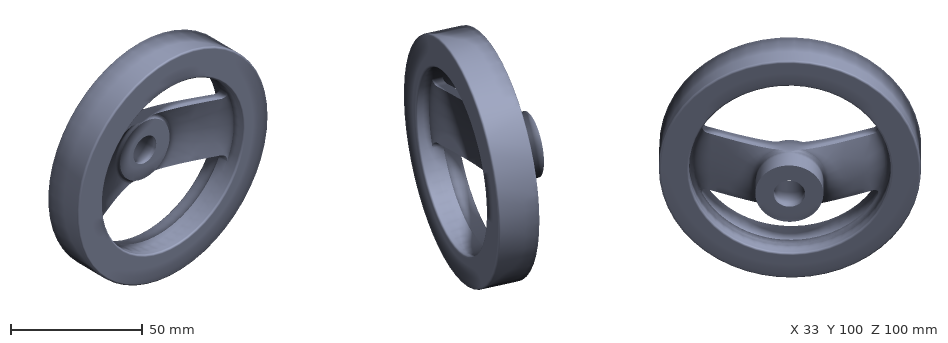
import cadquery as cq
import math

rim_diameter = 100.0
rim_front = 16.1
rim_back = 33.0
rim_edge_round = 0.8
front_bore_diameter = 77.0
back_bore_diameter = 74.0
rim_bore_round = 0.8

hub_diameter = 26.0
hub_back = 17.3
shaft_diameter = 12.0

web_front_at_hub = 10.3
web_thickness_at_hub = 5.2
web_thickness_at_rim = 4.2
web_slope_angle = 28.5
hub_front_fillet = 1.5
hub_back_fillet = 1.0
rim_front_fillet = 1.5

window_diameter = back_bore_diameter
spoke_width = hub_diameter
window_corner_radius = 2.0

hub_radius = hub_diameter / 2
front_bore_radius = front_bore_diameter / 2
back_bore_radius = back_bore_diameter / 2
web_slope = math.tan(math.radians(web_slope_angle))
web_front_at_rim = web_front_at_hub + (front_bore_radius - hub_radius) * web_slope
web_back_at_hub = web_front_at_hub + web_thickness_at_hub
web_back_at_rim = web_front_at_hub + (back_bore_radius - hub_radius) * web_slope + web_thickness_at_rim


def circles_within(radius, x):
    """Select circular edges about the axis at position x, up to this radius."""
    margin = 0.01
    return cq.selectors.BoxSelector(
        (x - margin, -radius - margin, -radius - margin),
        (x + margin, radius + margin, radius + margin),
        boundingbox=True,
    )


def make_wheel_body():
    """Revolve hub, dished web and rim about the X axis, then round the edges."""
    shaft_radius = shaft_diameter / 2
    rim_radius = rim_diameter / 2
    body = (
        cq.Workplane("XY")
        .moveTo(0, shaft_radius)
        .lineTo(0, hub_radius)
        .lineTo(web_front_at_hub, hub_radius)
        .lineTo(web_front_at_rim, front_bore_radius)
        .lineTo(rim_front, front_bore_radius)
        .lineTo(rim_front, rim_radius)
        .lineTo(rim_back, rim_radius)
        .lineTo(rim_back, back_bore_radius)
        .lineTo(web_back_at_rim, back_bore_radius)
        .lineTo(web_back_at_hub, hub_radius)
        .lineTo(hub_back, hub_radius)
        .lineTo(hub_back, shaft_radius)
        .close()
        .revolve(360, (0, 0, 0), (1, 0, 0))
    )
    body = body.edges(circles_within(hub_radius, web_front_at_hub)).fillet(hub_front_fillet)
    body = body.edges(circles_within(hub_radius, web_back_at_hub)).fillet(hub_back_fillet)
    body = body.edges(circles_within(front_bore_radius, web_front_at_rim)).fillet(rim_front_fillet)
    for rim_face, bore_radius in ((rim_front, front_bore_radius), (rim_back, back_bore_radius)):
        body = body.edges(circles_within(bore_radius, rim_face)).fillet(rim_bore_round)
        outer_edge = circles_within(rim_radius, rim_face) - circles_within(bore_radius + rim_bore_round, rim_face)
        body = body.edges(outer_edge).fillet(rim_edge_round)
    return body


def make_windows():
    """Two circular segments, above and below the spoke bar, with rounded corners."""
    window_radius = window_diameter / 2
    half_spoke = spoke_width / 2
    half_chord = math.sqrt(window_radius**2 - half_spoke**2)
    upper = (
        cq.Workplane("YZ")
        .moveTo(-half_chord, half_spoke)
        .threePointArc((0, window_radius), (half_chord, half_spoke))
        .close()
        .extrude(rim_back)
        .edges("|X")
        .fillet(window_corner_radius)
    )
    return upper.union(upper.mirror("XY"))


result = make_wheel_body().cut(make_windows())